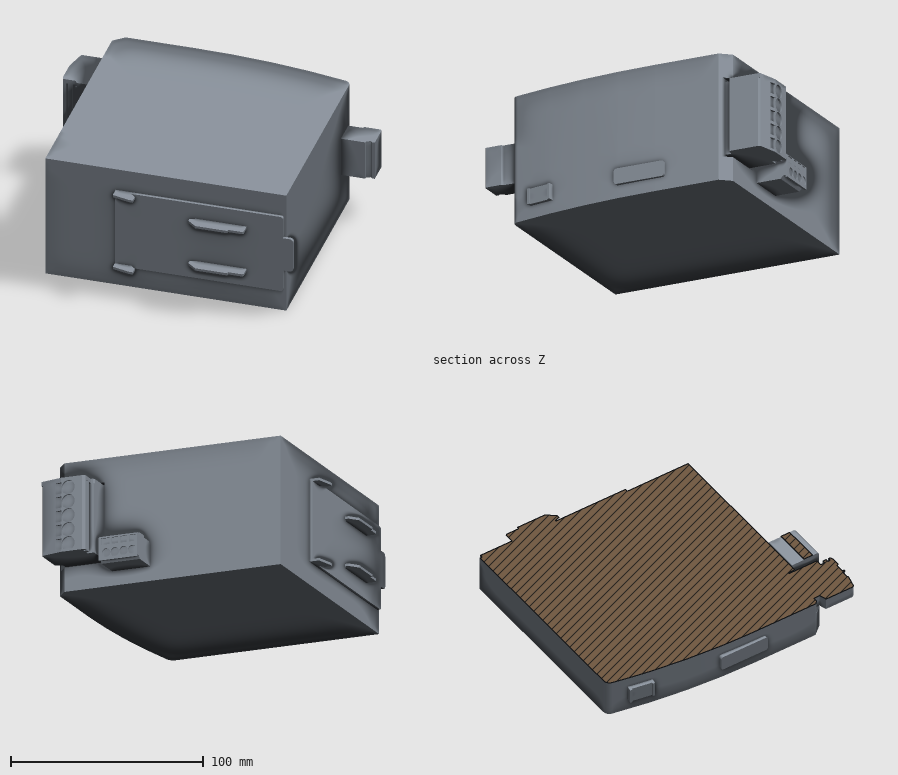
import cadquery as cq
import math


overall_x = 169.3

body_x, body_y, body_z = 130.4, 127.0, 70.0
bevel_x, bevel_y = 6.0, 5.0
bow_start = 43.0
bow_radius = 408.0
bow_corner_radius = 3.7

block_reach = 21.0
block_half_z = 20.1
block_front_y = 99.5
recess_depth = 4.2
recess_half_z = 21.8
recess_front_y = 99.2
large_ports = 5
large_pitch = 7.6
large_port_y = 110.9
large_port_radius = 3.7
large_port_z = -0.7
large_port_depth = 1.0
large_slot_z = 6.0
large_slot_back_y = 118.5
large_slot_depth = 1.5
end_cap = 2.4
top_bevel = 1.2
step_bevel_x, step_bevel_y = 1.2, 0.7
groove_depth = 1.7
ledge_y = 101.5
slant_y = 115.0

small_front_y, small_back_y = 73.5, 95.0
small_ports = 4
small_pitch = 4.9
small_port_first_y = 90.8
small_reach = 18.0
small_port_z = -22.7
small_port_radius = 2.4
small_slot_z = -16.5
small_slot_size = 3.5
small_first_slot_extra = 1.2
small_port_depth = 0.7

plug_half_z = 11.0
plug_end = overall_x - block_reach

clip_left, clip_right = 38.1, 129.0
clip_half_z = 22.5
clip_thickness = 1.7
clip_depth = 8.8
clip_corner = 1.4
tab_end = 134.6
tab_half_z = 9.8
tab_corner = 2.0
fin_thickness = 1.4
rib_z = 12.9

pad_left, pad_right = 36.9, 66.0
pad_bottom, pad_top = -28.0, -19.3
pad_height = 1.7
pad_corner = 1.5
button_x = 111.8
button_length = 14.2
button_height = 2.2
button_lip_length = 1.4
button_lip_height = 0.8


def box(x0, x1, y0, y1, z0, z1):
    """Box between two opposite corners."""
    return cq.Workplane("XY").box(x1 - x0, y1 - y0, z1 - z0, centered=False).translate((x0, y0, z0))


def plate(points, z0, z1):
    """Closed outline in X and Y, raised from z0 to z1."""
    return cq.Workplane("XY").workplane(offset=z0).polyline(points).close().extrude(z1 - z0)


def bow_y(x):
    """Y of the bowed back at a given X."""
    return body_y - bow_radius + math.sqrt(bow_radius**2 - (x - bow_start) ** 2)


def make_housing():
    bow_middle = (bow_start + body_x) / 2
    outline = (
        cq.Workplane("XY")
        .workplane(offset=-body_z / 2)
        .lineTo(body_x, 0)
        .lineTo(body_x, bow_y(body_x))
        .threePointArc((bow_middle, bow_y(bow_middle)), (bow_start, body_y))
        .lineTo(bevel_x, body_y)
        .lineTo(0, body_y - bevel_y)
        .close()
    )
    housing = outline.extrude(body_z)
    housing = housing.edges("|Z and >X").edges(">Y").fillet(bow_corner_radius)
    recess = box(0, recess_depth, recess_front_y, body_y, -recess_half_z, recess_half_z)
    return housing.cut(recess)


def make_large_block():
    back_left = -18.1
    step_x = -13.2
    outline = [
        (recess_depth, block_front_y),
        (step_x, block_front_y),
        (step_x, ledge_y),
        (-20.3, ledge_y),
        (-block_reach, 103.0),
        (-block_reach, slant_y),
        (back_left, body_y),
        (-0.5, body_y),
        (0.7, 123.0),
        (recess_depth, 123.0),
    ]
    block = plate(outline, -block_half_z, block_half_z)
    cap_z = block_half_z - end_cap

    bevel = [
        (back_left - top_bevel, body_y - top_bevel),
        (back_left + top_bevel, body_y),
        (back_left - top_bevel, body_y),
    ]
    block = block.cut(plate(bevel, -block_half_z, cap_z))

    step_bevel = [
        (step_x, block_front_y),
        (step_x + step_bevel_x, block_front_y),
        (step_x, block_front_y + step_bevel_y),
    ]
    block = block.cut(plate(step_bevel, cap_z, block_half_z))

    for x0, x1 in ((-19.1, -17.8), (-15.5, step_x)):
        groove = box(x0, x1, ledge_y, ledge_y + groove_depth, -block_half_z, cap_z)
        block = block.cut(groove)

    for i in range(large_ports):
        z = large_port_z + (i - (large_ports - 1) / 2) * large_pitch
        port = (
            cq.Workplane("YZ", origin=(-block_reach, 0, 0))
            .center(large_port_y, z)
            .circle(large_port_radius)
            .extrude(large_port_depth)
        )
        slot = box(
            -block_reach, -block_reach + large_slot_depth,
            large_port_y + large_port_radius, large_slot_back_y,
            z - large_slot_z / 2, z + large_slot_z / 2,
        )
        block = block.cut(port).cut(slot)
    return block


def make_small_block():
    outline = [
        (0, -27.1),
        (-13.9, -27.1),
        (-15.4, -25.5),
        (-16.8, -25.5),
        (-16.8, -26.5),
        (-small_reach, -26.5),
        (-small_reach, -14.4),
        (-16.8, -13.4),
        (-13.9, -13.4),
        (-13.9, -12.7),
        (-8.3, -12.7),
        (-8.3, -13.9),
        (-1.0, -13.9),
        (-0.3, -15.5),
        (0, -15.5),
    ]
    block = (
        cq.Workplane("XZ", origin=(0, small_back_y, 0))
        .polyline(outline)
        .close()
        .extrude(small_back_y - small_front_y)
    )
    face = cq.Workplane("YZ", origin=(-small_reach, 0, 0))
    for i in range(small_ports):
        y = small_port_first_y - i * small_pitch
        port = face.center(y, small_port_z).circle(small_port_radius).extrude(small_port_depth)
        slot = face.center(y, small_slot_z).rect(small_slot_size, small_slot_size).extrude(small_port_depth)
        block = block.cut(port).cut(slot)

    first_slot_back = small_port_first_y + small_slot_size / 2
    widening = box(
        -small_reach, small_port_depth - small_reach,
        small_port_first_y, first_slot_back + small_first_slot_extra,
        small_slot_z - small_slot_size / 2, small_slot_z + small_slot_size / 2,
    )
    return block.cut(widening)


def make_plug():
    outline = [
        (body_x, 99.7),
        (143.4, 99.7),
        (143.8, 100.7),
        (146.0, 102.0),
        (147.0, 100.9),
        (plug_end, 100.9),
        (plug_end, 113.6),
        (147.6, 114.3),
        (138.8, 114.3),
        (138.0, 113.3),
        (body_x, 113.3),
    ]
    return plate(outline, -plug_half_z, plug_half_z)


def make_clip():
    base = box(clip_left, clip_right, -clip_thickness, 0, -clip_half_z, clip_half_z)
    base = base.edges("|Y and >X").fillet(clip_corner)
    tab = box(clip_right - clip_corner, tab_end, -clip_thickness, 0, -tab_half_z, tab_half_z)
    tab = tab.edges("|Y and >X").fillet(tab_corner)
    clip = base.union(tab)

    hook = [
        (clip_left, 0),
        (clip_left, -5.5),
        (47.4, -7.8),
        (49.6, -7.8),
        (49.6, -4.0),
        (47.0, -clip_thickness),
        (47.0, 0),
    ]
    rib = [
        (81.6, 0),
        (81.6, -2.0),
        (78.7, -2.9),
        (78.7, -4.7),
        (83.6, -clip_depth),
        (101.0, -clip_depth),
        (101.0, -7.6),
        (108.5, -7.6),
        (109.4, -7.0),
        (109.4, 0),
    ]
    for side in (-1, 1):
        hook_z = side * (clip_half_z - fin_thickness / 2)
        for outline, z in ((hook, hook_z), (rib, side * rib_z)):
            clip = clip.union(plate(outline, z - fin_thickness / 2, z + fin_thickness / 2))
    return clip


def make_pad():
    pad = box(pad_left, pad_right, body_y - pad_height, body_y + pad_height, pad_bottom, pad_top)
    return pad.edges("|Y").fillet(pad_corner)


def make_button():
    half = button_length / 2
    rim = button_height + button_lip_height
    outline = [
        (-half, -button_height),
        (half, -button_height),
        (half, rim),
        (half - button_lip_length, rim),
        (half - button_lip_length, button_height),
        (button_lip_length - half, button_height),
        (button_lip_length - half, rim),
        (-half, rim),
    ]
    tilt = -math.degrees(math.asin((button_x - bow_start) / bow_radius))
    button = plate(outline, pad_bottom, pad_top)
    return button.rotate((0, 0, 0), (0, 0, 1), tilt).translate((button_x, bow_y(button_x), 0))


result = make_housing()
for piece in (
    make_large_block(),
    make_small_block(),
    make_plug(),
    make_clip(),
    make_pad(),
    make_button(),
):
    result = result.union(piece)